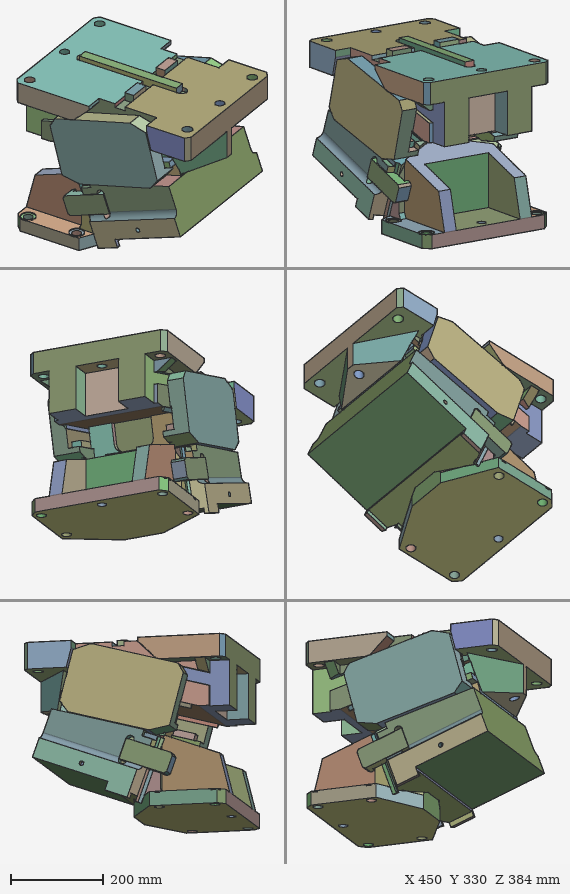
import cadquery as cq


LENGTH = 450
WIDTH = 330.0
HEIGHT = 384.0
HALF_WIDTH = WIDTH / 2
GUIDE_ANGLE = 15
DRIVE_ANGLE = 20
FAR = 900

BASE_LENGTH = 231.8
BASE_THICK = 31.5
BASE_CORNER = 15.8
BASE_TAPER_START = 167.5
BASE_NOSE_HALF = 47.2
WALL_OUTER = 115.5
WALL_INNER = 84.5
BACK_WALL_X = 119.5
GUSSET_SHOULDER = (22.5, 119.5)
NOSE_TOP = 104.5
NOSE_TIP = 236.5
NOSE_TIP_HALF = 32.5
FLANGE_OUTER = 130.5
FLANGE_X = 151.5
FLANGE_FOOT = 12.5
FLANGE_FOOT_RUN = 6.5
FLANGE_TIP = 186.5
BASE_HOLE_X = (24.8, 150.0)
BASE_HOLE_Y = 146.2
BASE_HOLE_R = 11.0
BASE_BORE_R = 17.0
BASE_BORE_DEPTH = 2.2
CENTRE_HOLE_R = 10.0

BODY_START = 162
SLIDER_BACK = 444.5
SLIDER_FLOOR = -34.0
SLIDER_STOCK_TOP = 180
TOE_FLOOR = -54
TOE_BACK = 264.5
TOE_INNER = 155.5
TOE_GAP_TOP = -42.5
LIP_INNER = 127.0
WING_START = 195.0
WING_LIP = (200.0, 135)
WING_FRONT = 211.5
UPPER_HALF = 150.5
STEP_TOP = 25.0
SHOULDER_FLOOR = 85.0
SHOULDER_INNER = 137.2
LEDGE_TOP = 96.0
SHOULDER_BACK = 231.0
NOSE_PAD_REACH = (216, 252)
NOSE_PAD_HALF = 62.0
NOSE_PAD_TOP = 111.0
HOOK_FRONT = 150.0
HOOK_BACK = 262.5
HOOK_LOW = 21.5
HOOK_HIGH = 69.5
HOOK_OUTER = 153.5
HOOK_INNER = 120.5
HOOK_TOOTH = 14.5
HOOK_CORNER = 5.5
RELIEF_R = 9
SIDE_HOLE = (319.5, 101.2)
SIDE_HOLE_R = 5.0
SIDE_HOLE_DEPTH = 13.5

SADDLE = 119.0
KEEPER_FRONT = 164.2
KEEPER_BACK = 419.0
KEEPER_TOP = 275.5
KEEPER_TOP_FRONT = (17.0, 17.0)
KEEPER_TOP_BACK = (36.5, 21.5)
KEEPER_LOW_BACK = (24.5, 19.0)
KEEPER_LOW_FRONT = (42.5, 20.0)
KEEPER_OUTER = 163.5
KEEPER_INNER = 125.0
KEEPER_FOOT_TOP = 150.8
KEEPER_FOOT_INNER = 101.0
KEEPER_RELIEF_TOP = 202.0
KEEPER_RELIEF_INNER = 127.5
PAD_FRONT = 181.0
PAD_TOP = 165.5
PAD_INNER = 102.5
TONGUE_HALF = 96.8
TONGUE_FRONT = 229.5
TONGUE_BACK = 432
POCKET_HALF = 47.2
POCKET_FLOOR = 130.5
POCKET_DEPTH = 13.5
POCKET_CORNER = 22.5

PLATE_TOP = 374.0
PLATE_LOW = 324
PLATE_LOW_BACK = 315
HOLDER_CORNER_X = 10.0
HOLDER_CORNER_Y = 11.5
LEG_BOTTOM = 224.0
GUIDE_FACE = 199.0
RAIL_TOP = 248.0
RAIL_X = 44.5
RAIL_OUTER = 124.5
STRIP_LOW = 190.5
STRIP_FRONT = 140.5
STRIP_OUTER = 122.5
STRIP_FOOT = 118.0
RIB_END = 67.5
RIB_LOW = 298.0
RIB_OUTER = 158.5
LEG_NOTCH_HALF = 51.5
LEG_NOTCH_DEPTH = 48.0
STOP_FRONT = 437.0
STOP_BOTTOM = 124.0
STOP_START = 360
STOP_START_HALF = 144
STOP_TIP_HALF = 9
WINDOW_FRONT = 193.5
WINDOW_BACK = 342.5
WINDOW_INNER = 124.5
WINDOW_LIP = 364.5
WINDOW_BACK_LIP = 358.0
WINDOW_BACK_FOOT = 353.5
WINDOW_HEEL = (154.5, 326.5)
WINDOW_TOE = (144, 324)
SLOT_FLOOR = 364.5
KEY_SLOT_X = (58.5, 339.5)
KEY_X = (70.0, 321.0)
KEY_HALF = 11.5
KEY_SLOT_HALF = 12.5
CROSS_SLOT_X = (235.0, 261)
CROSS_KEY_X = (236.5, 259.0)
CROSS_KEY_Y = (38.0, 87.8)
HOLDER_HOLE_R = 11.5
HOLDER_MID_HOLE_R = 11.0
HOLDER_HOLE_FRONT = (24.8, 140.5)
HOLDER_HOLE_BACK = (425.2, 130.0)


def box(x, y, z):
    """Block between the given (low, high) limits along each axis."""
    return (
        cq.Workplane("XY")
        .box(x[1] - x[0], y[1] - y[0], z[1] - z[0], centered=False)
        .translate((x[0], y[0], z[0]))
    )


def side_profile(points, y):
    """Outline of (x, z) points, spanning the (low, high) limits along Y."""
    return cq.Workplane("XZ", origin=(0, y[0], 0)).polyline(points).close().extrude(y[0] - y[1])


def plan_profile(points, z):
    """Outline of (x, y) points, spanning the (low, high) limits along Z."""
    return cq.Workplane("XY", origin=(0, 0, z[0])).polyline(points).close().extrude(z[1] - z[0])


def tilt(shape, angle):
    """Turn a level shape so that its X axis rises at the angle."""
    return shape.rotate((0, 0, 0), (0, 1, 0), -angle)


def both_sides(shape):
    """The shape and its mirror image across Y = 0."""
    return shape.union(shape.mirror("XZ"))


def symmetric_plan(points):
    """Close a plan outline given by its +Y half."""
    return points + [(x, -y) for x, y in reversed(points)]


def vertical_hole(x, y, radius, z=(0, FAR)):
    return cq.Workplane("XY", origin=(x, y, z[0])).circle(radius).extrude(z[1] - z[0])


NOSE_SLOPE = (NOSE_TIP - FLANGE_TIP) / (FLANGE_OUTER - NOSE_TIP_HALF)


def nose_prism(start, half, top):
    """V-nosed prism along the drive axis, as wide as the given half width."""
    shoulder = FLANGE_TIP + NOSE_SLOPE * (FLANGE_OUTER - half)
    plan = symmetric_plan([(start, half), (shoulder, half), (NOSE_TIP, NOSE_TIP_HALF)])
    return tilt(plan_profile(plan, (-FAR, top)), DRIVE_ANGLE)


def make_base():
    plate = plan_profile(
        symmetric_plan([
            (0, HALF_WIDTH - BASE_CORNER),
            (BASE_CORNER, HALF_WIDTH),
            (BASE_TAPER_START, HALF_WIDTH),
            (BASE_LENGTH, BASE_NOSE_HALF),
        ]),
        (0, BASE_THICK),
    )
    core = box((BACK_WALL_X, BASE_LENGTH), (-FAR, FAR), (BASE_THICK, FAR))
    nose = nose_prism(0, WALL_OUTER, NOSE_TOP).intersect(core)

    flange_keep = side_profile(
        [
            (FLANGE_X - FLANGE_FOOT_RUN, BASE_THICK),
            (FLANGE_X, BASE_THICK + FLANGE_FOOT),
            (FLANGE_X, FAR),
            (BASE_LENGTH, FAR),
            (BASE_LENGTH, BASE_THICK),
        ],
        (-FAR, FAR),
    )
    flanges = nose_prism(0, FLANGE_OUTER, NOSE_TOP).intersect(flange_keep)

    gusset = side_profile(
        [
            (0, 0),
            (0, BASE_THICK),
            GUSSET_SHOULDER,
            (GUSSET_SHOULDER[0], FAR),
            (BACK_WALL_X, FAR),
            (BACK_WALL_X, 0),
        ],
        (WALL_INNER, WALL_OUTER),
    ).intersect(nose_prism(-FAR, WALL_OUTER, NOSE_TOP))
    base = plate.union(nose).union(flanges).union(both_sides(gusset))

    base = base.cut(vertical_hole(BASE_HOLE_X[0], 0, CENTRE_HOLE_R, (0, BASE_THICK)))
    for x in BASE_HOLE_X:
        for y in (-BASE_HOLE_Y, BASE_HOLE_Y):
            base = base.cut(vertical_hole(x, y, BASE_HOLE_R, (0, BASE_THICK)))
            base = base.cut(vertical_hole(x, y, BASE_BORE_R, (BASE_THICK - BASE_BORE_DEPTH, BASE_THICK)))
    return base


def make_slider_body():
    lower = plan_profile(
        symmetric_plan([
            (BODY_START, FLANGE_OUTER),
            (WING_START, FLANGE_OUTER),
            WING_LIP,
            (WING_FRONT, HALF_WIDTH),
            (SLIDER_BACK, HALF_WIDTH),
        ]),
        (TOE_FLOOR, SLIDER_STOCK_TOP),
    )
    outline = side_profile(
        [
            (BODY_START, TOE_FLOOR),
            (TOE_BACK, TOE_FLOOR),
            (TOE_BACK, SLIDER_FLOOR),
            (SLIDER_BACK, SLIDER_FLOOR),
            (SLIDER_BACK, FAR),
            (SHOULDER_BACK, FAR),
            (SHOULDER_BACK, LEDGE_TOP),
            (BODY_START, LEDGE_TOP),
        ],
        (-FAR, FAR),
    )
    shoulder = box((0, SHOULDER_BACK), (SHOULDER_INNER, FAR), (SHOULDER_FLOOR, FAR))
    body = lower.intersect(outline).cut(both_sides(shoulder))

    toe_gap = box((WING_LIP[0], TOE_BACK), (-TOE_INNER, TOE_INNER), (TOE_FLOOR, TOE_GAP_TOP))
    lip_gap = box((0, TOE_BACK), (-LIP_INNER, LIP_INNER), (TOE_FLOOR, TOE_GAP_TOP))
    body = body.cut(toe_gap).cut(lip_gap)

    step_radius = HALF_WIDTH - UPPER_HALF
    step_cut = (
        cq.Workplane("YZ")
        .moveTo(UPPER_HALF, FAR)
        .lineTo(UPPER_HALF, STEP_TOP)
        .radiusArc((HALF_WIDTH, STEP_TOP - step_radius), -step_radius)
        .lineTo(FAR, STEP_TOP - step_radius)
        .lineTo(FAR, FAR)
        .close()
        .extrude(FAR)
    )
    body = body.cut(both_sides(step_cut))
    for height in (HOOK_LOW, HOOK_HIGH):
        relief = (
            cq.Workplane("XZ", origin=(HOOK_BACK - RELIEF_R, FLANGE_OUTER, height))
            .circle(RELIEF_R)
            .extrude(-FAR)
        )
        body = body.cut(both_sides(relief))

    above_saddle = tilt(box((-FAR, FAR), (-FAR, FAR), (SADDLE, FAR)), GUIDE_ANGLE)
    body = tilt(body, DRIVE_ANGLE).cut(above_saddle)
    side_hole = (
        cq.Workplane("XZ", origin=(SIDE_HOLE[0], HALF_WIDTH - SIDE_HOLE_DEPTH, SIDE_HOLE[1]))
        .circle(SIDE_HOLE_R)
        .extrude(-FAR)
    )
    return body.cut(both_sides(side_hole))


def make_hook():
    """Side bar fixed to the slider, with a tooth that reaches behind the base flange."""
    height = (HOOK_LOW, HOOK_HIGH)
    bar = box((HOOK_FRONT, HOOK_BACK), (FLANGE_OUTER, HOOK_OUTER), height)
    tooth = box((HOOK_FRONT, HOOK_FRONT + HOOK_TOOTH), (HOOK_INNER, FLANGE_OUTER), height)
    hook = bar.union(tooth).edges("|Y and <X").chamfer(HOOK_CORNER)
    return tilt(hook, DRIVE_ANGLE)


def make_keeper():
    """Side plate with a foot on the slider saddle."""
    plate = side_profile(
        [
            (KEEPER_FRONT, KEEPER_TOP - KEEPER_TOP_FRONT[1]),
            (KEEPER_FRONT + KEEPER_TOP_FRONT[0], KEEPER_TOP),
            (KEEPER_BACK - KEEPER_TOP_BACK[0], KEEPER_TOP),
            (KEEPER_BACK, KEEPER_TOP - KEEPER_TOP_BACK[1]),
            (KEEPER_BACK, SADDLE + KEEPER_LOW_BACK[1]),
            (KEEPER_BACK - KEEPER_LOW_BACK[0], SADDLE),
            (KEEPER_FRONT + KEEPER_LOW_FRONT[0], SADDLE),
            (KEEPER_FRONT, SADDLE + KEEPER_LOW_FRONT[1]),
        ],
        (KEEPER_FOOT_INNER, KEEPER_OUTER),
    )
    above_foot = box((0, FAR), (0, KEEPER_INNER), (KEEPER_FOOT_TOP, FAR))
    relief = box((0, FAR), (0, KEEPER_RELIEF_INNER), (KEEPER_FOOT_TOP, KEEPER_RELIEF_TOP))
    pad = box((PAD_FRONT, TONGUE_BACK), (PAD_INNER, KEEPER_INNER), (KEEPER_FOOT_TOP, PAD_TOP))
    return tilt(plate.cut(above_foot).cut(relief).union(pad), GUIDE_ANGLE)


def make_tongue():
    """Centre block under the sliding face, with a round-bottomed pocket in its front end."""
    tongue = box((TONGUE_FRONT, TONGUE_BACK), (-TONGUE_HALF, TONGUE_HALF), (SADDLE, GUIDE_FACE))
    pocket = box(
        (TONGUE_FRONT, TONGUE_FRONT + POCKET_DEPTH), (-POCKET_HALF, POCKET_HALF), (POCKET_FLOOR, FAR)
    ).edges("|X and <Z").fillet(POCKET_CORNER)
    wide_top = box((TONGUE_FRONT, TONGUE_BACK), (-PAD_INNER, PAD_INNER), (KEEPER_FOOT_TOP, GUIDE_FACE))
    return tilt(tongue.union(wide_top).cut(pocket), GUIDE_ANGLE)


def make_nose_pad():
    """Block that carries the V seat up past the saddle to the tip of the base nose."""
    pad = box(NOSE_PAD_REACH, (-NOSE_PAD_HALF, NOSE_PAD_HALF), (SHOULDER_FLOOR, NOSE_PAD_TOP))
    return tilt(pad, DRIVE_ANGLE)


def make_slider():
    slider = make_slider_body().union(make_tongue()).union(make_nose_pad())
    slider = slider.union(both_sides(make_keeper()))
    seat = nose_prism(-FAR, FLANGE_OUTER, NOSE_PAD_TOP)
    return slider.cut(seat).union(both_sides(make_hook()))


def make_plate():
    """Top plate with a side window on each side for the keepers."""
    plate = plan_profile(
        symmetric_plan([
            (0, HALF_WIDTH - HOLDER_CORNER_Y),
            (HOLDER_CORNER_X, HALF_WIDTH),
            (LENGTH - HOLDER_CORNER_X, HALF_WIDTH),
            (LENGTH, HALF_WIDTH - HOLDER_CORNER_Y),
        ]),
        (PLATE_LOW_BACK, PLATE_TOP),
    ).cut(box((0, WINDOW_BACK), (-FAR, FAR), (0, PLATE_LOW)))

    window = side_profile(
        [
            (WINDOW_FRONT, FAR),
            (WINDOW_FRONT, WINDOW_LIP),
            WINDOW_HEEL,
            WINDOW_TOE,
            (WINDOW_TOE[0], PLATE_LOW_BACK),
            (WINDOW_BACK_FOOT, PLATE_LOW_BACK),
            (WINDOW_BACK, WINDOW_BACK_LIP),
            (WINDOW_BACK, FAR),
        ],
        (WINDOW_INNER, FAR),
    )
    return plate.cut(both_sides(window))


def make_guide_block():
    """Centre block that ends in the sliding face, with its front leg."""
    behind_guide = tilt(box((-FAR, TONGUE_BACK), (-FAR, FAR), (GUIDE_FACE, FAR)), GUIDE_ANGLE)
    block = box((0, LENGTH), (-WALL_OUTER, WALL_OUTER), (LEG_BOTTOM, PLATE_LOW)).intersect(behind_guide)
    notch = box((0, LEG_NOTCH_DEPTH), (-LEG_NOTCH_HALF, LEG_NOTCH_HALF), (0, PLATE_LOW))
    return block.cut(notch)


def make_rails():
    """Side rails along the guide slope, with a wear strip below and a web above each."""
    rail = tilt(box((0, KEEPER_BACK), (WALL_OUTER, RAIL_OUTER), (GUIDE_FACE, RAIL_TOP)), GUIDE_ANGLE)
    rail = rail.intersect(box((RAIL_X, LENGTH), (0, FAR), (LEG_BOTTOM, PLATE_LOW)))
    strip = (
        cq.Workplane("YZ", origin=(STRIP_FRONT, 0, 0))
        .polyline([
            (WALL_OUTER, GUIDE_FACE),
            (STRIP_OUTER, GUIDE_FACE),
            (STRIP_FOOT, STRIP_LOW),
            (WALL_OUTER, STRIP_LOW),
        ])
        .close()
        .extrude(KEEPER_BACK - STRIP_FRONT)
    )
    strip = tilt(strip, GUIDE_ANGLE)
    web = tilt(box((0, FAR), (WALL_OUTER, RAIL_OUTER), (KEEPER_TOP, FAR)), GUIDE_ANGLE)
    web = web.intersect(box((RAIL_X, WINDOW_FRONT), (0, FAR), (0, PLATE_LOW)))
    return both_sides(rail.union(strip).union(web))


def make_stop():
    """V-nosed leg behind the slider."""
    stop = tilt(box((STOP_FRONT, FAR), (-FAR, FAR), (STOP_BOTTOM, FAR)), GUIDE_ANGLE)
    stop_plan = symmetric_plan([(STOP_START, STOP_START_HALF), (LENGTH, STOP_TIP_HALF)])
    return stop.intersect(plan_profile(stop_plan, (0, PLATE_LOW)))


def make_ribs():
    """Slanted ribs between the front of the rails and the plate."""
    rib = (
        cq.Workplane("YZ", origin=(RAIL_X, 0, 0))
        .polyline([
            (WALL_OUTER, PLATE_LOW),
            (RIB_OUTER, PLATE_LOW),
            (RAIL_OUTER, RIB_LOW),
            (WALL_OUTER, RIB_LOW),
        ])
        .close()
        .extrude(RIB_END - RAIL_X)
    ).intersect(tilt(box((-FAR, FAR), (0, FAR), (KEEPER_TOP, FAR)), GUIDE_ANGLE))
    return both_sides(rib)


def add_keys(holder):
    """Cut the key slots into the plate and seat the raised keys in them."""
    key_slot = (
        cq.Workplane("XY", origin=(sum(KEY_SLOT_X) / 2, 0, SLOT_FLOOR))
        .slot2D(KEY_SLOT_X[1] - KEY_SLOT_X[0], 2 * KEY_SLOT_HALF)
        .extrude(HEIGHT - SLOT_FLOOR)
    )
    cross_slot = box(CROSS_SLOT_X, (-FAR, FAR), (SLOT_FLOOR, FAR))
    holder = holder.cut(key_slot).cut(cross_slot)
    holder = holder.union(box(KEY_X, (-KEY_HALF, KEY_HALF), (SLOT_FLOOR, HEIGHT)))
    return holder.union(both_sides(box(CROSS_KEY_X, CROSS_KEY_Y, (SLOT_FLOOR, HEIGHT))))


def make_holder():
    holder = make_plate()
    for piece in (make_guide_block(), make_stop(), make_rails(), make_ribs()):
        holder = holder.union(piece)
    for x, y in (HOLDER_HOLE_FRONT, HOLDER_HOLE_BACK):
        holder = holder.cut(vertical_hole(x, 0, HOLDER_MID_HOLE_R))
        holder = holder.cut(both_sides(vertical_hole(x, y, HOLDER_HOLE_R)))
    return add_keys(holder)


base = make_base()
slider = make_slider()
holder = make_holder()
result = cq.Compound.makeCompound([base.val(), slider.val(), holder.val()])